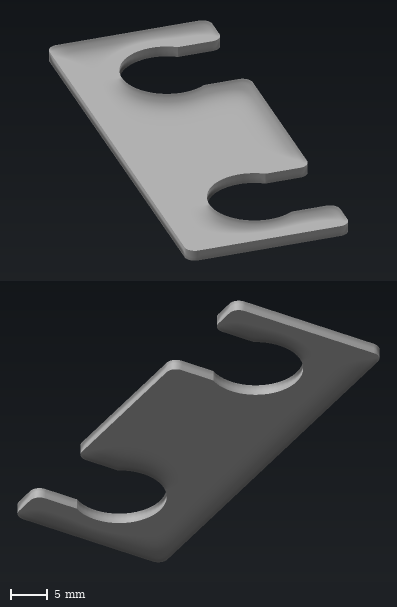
import cadquery as cq

length = 60.3
width = 23.85
thickness = 1.55
corner_radius = 1.5

notch_spacing = 37.15
hole_radius = 6.6
hole_depth = 10.15
slot_width = 11.1

top_edge = width / 2
hole_y = top_edge - hole_depth


def keyhole(x):
    """Round hole joined to the +Y edge by a slightly narrower slot."""
    hole = cq.Workplane("XY").center(x, hole_y).circle(hole_radius).extrude(thickness)
    slot = (
        cq.Workplane("XY")
        .center(x, hole_y + hole_depth / 2)
        .rect(slot_width, hole_depth)
        .extrude(thickness)
    )
    return hole.union(slot)


plate = cq.Workplane("XY").rect(length, width).extrude(thickness)
for side in (-1, 1):
    plate = plate.cut(keyhole(side * notch_spacing / 2))

result = plate.edges("|Z and (>Y or <Y)").fillet(corner_radius)